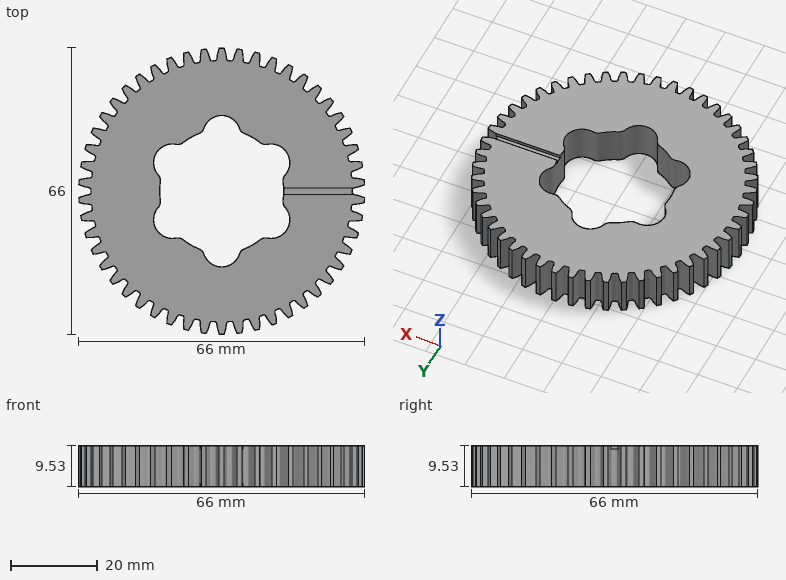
import cadquery as cq
import math

TOOTH_COUNT = 50
PITCH_DIAMETER = 63.5
MODULE = PITCH_DIAMETER / TOOTH_COUNT
PRESSURE_ANGLE = math.radians(14.5)
DEDENDUM_FACTOR = 1.25
ROOT_WIDTH = 0.9
BACKLASH = 0.09
FLANK_STEPS = 4
FACE_WIDTH = 9.525

PITCH_RADIUS = PITCH_DIAMETER / 2
BASE_RADIUS = PITCH_RADIUS * math.cos(PRESSURE_ANGLE)
TIP_RADIUS = PITCH_RADIUS + MODULE
ROOT_RADIUS = PITCH_RADIUS - DEDENDUM_FACTOR * MODULE
TOOTH_PITCH = 2 * math.pi / TOOTH_COUNT
FIRST_TOOTH = TOOTH_PITCH / 2

BORE_RADIUS = 14.2875
LOBE_COUNT = 6
LOBE_RADIUS = 4.3
LOBE_CENTRE_RADIUS = 13.15
LOBE_START = 30
LOBE_BLEND = 2.0

GROOVE_WIDTH = 1.5875
GROOVE_DEPTH = 0.79
MOUTH_ROUNDING = 0.4


def polar(radius, angle):
    return (radius * math.cos(angle), radius * math.sin(angle))


def involute(angle):
    return math.tan(angle) - angle


def half_tooth_angle(radius):
    """Half the angle in radians that a tooth spans at a radius on its involute flank."""
    roll = math.acos(BASE_RADIUS / radius)
    pitch_half_angle = TOOTH_PITCH / 4 - BACKLASH / 2 / PITCH_RADIUS
    return pitch_half_angle + involute(PRESSURE_ANGLE) - involute(roll)


def add_tooth(outline, centre):
    """Draw one tooth tip and the gap after it, counter-clockwise from the start of the tip."""
    tip_end = polar(TIP_RADIUS, centre + half_tooth_angle(TIP_RADIUS))
    gap_centre = centre + TOOTH_PITCH / 2
    next_tooth = centre + TOOTH_PITCH

    flank_step = (TIP_RADIUS - BASE_RADIUS) / FLANK_STEPS
    flank_radii = [BASE_RADIUS + step * flank_step for step in range(FLANK_STEPS + 1)]
    falling = [polar(r, centre + half_tooth_angle(r)) for r in reversed(flank_radii[:-1])]
    rising = [polar(r, next_tooth - half_tooth_angle(r)) for r in flank_radii]

    root_half_angle = ROOT_WIDTH / 2 / ROOT_RADIUS
    root = [polar(ROOT_RADIUS, gap_centre + side * root_half_angle) for side in (-1, 0, 1)]
    tip = outline.threePointArc(polar(TIP_RADIUS, centre), tip_end)
    return tip.spline(falling + root + rising, includeCurrent=True)


def gear_blank():
    tip_start = polar(TIP_RADIUS, FIRST_TOOTH - half_tooth_angle(TIP_RADIUS))
    outline = cq.Workplane("XY").moveTo(*tip_start)
    for tooth in range(TOOTH_COUNT):
        outline = add_tooth(outline, FIRST_TOOTH + tooth * TOOTH_PITCH)
    return outline.close().extrude(FACE_WIDTH)


def bore():
    lobes = (
        cq.Workplane("XY")
        .polarArray(LOBE_CENTRE_RADIUS, LOBE_START, 360, LOBE_COUNT)
        .circle(LOBE_RADIUS)
        .extrude(FACE_WIDTH)
    )
    core = cq.Workplane("XY").circle(BORE_RADIUS).extrude(FACE_WIDTH)
    return core.union(lobes).edges("|Z").fillet(LOBE_BLEND)


def groove():
    return (
        cq.Workplane("XY", origin=(TIP_RADIUS / 2, 0, FACE_WIDTH - GROOVE_DEPTH))
        .rect(TIP_RADIUS, GROOVE_WIDTH)
        .extrude(GROOVE_DEPTH)
    )


def round_groove_mouth(gear):
    """Round the two upright corners where the groove opens into the bore."""
    half_width = GROOVE_WIDTH / 2
    corner_x = math.sqrt(BORE_RADIUS**2 - half_width**2)
    corner_z = FACE_WIDTH - GROOVE_DEPTH / 2
    for corner_y in (-half_width, half_width):
        corner = cq.selectors.NearestToPointSelector((corner_x, corner_y, corner_z))
        gear = gear.edges("|Z").edges(corner).fillet(MOUTH_ROUNDING)
    return gear


grooved_gear = gear_blank().cut(bore()).cut(groove())
result = round_groove_mouth(grooved_gear)